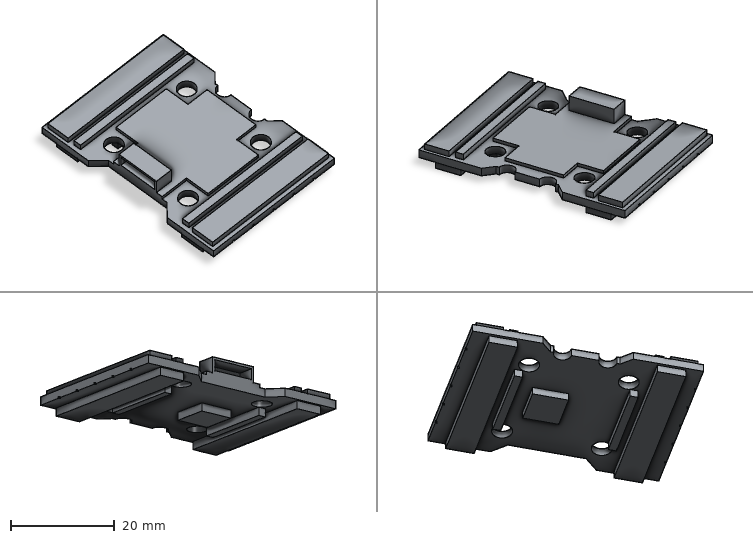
import cadquery as cq

PLATE_LENGTH = 46.0
PLATE_WIDTH = 33.45
PLATE_THICKNESS = 1.7

FRONT_RECESS_HALF = 10.6
FRONT_RECESS_DEPTH = 2.75
REAR_RECESS_HALF = 9.0
REAR_RECESS_DEPTH = 2.05

NOTCH_DIAMETER = 3.5
NOTCH_X = 4.5

HOLE_DIAMETER = 4.0
HOLE_X = 9.95
HOLE_FRONT_Y = -10.3
HOLE_REAR_Y = 9.85

NICK_COUNT = 5
NICK_SPACING = 5.55
NICK_WIDTH = 0.3
NICK_HEIGHT = 0.3
NICK_DEPTH = 0.3

PAD_HEIGHT = 0.7
PAD_WIDE_HALF = 12.35
PAD_WIDE_FRONT_Y = -7.2
PAD_WIDE_REAR_Y = 6.65
PAD_NARROW_HALF = 6.55
PAD_NARROW_REAR_Y = 11.95

SHELL_TOP = 3.9
SHELL_HALF = 5.0
SHELL_DEPTH = 4.1
SHELL_WALL = 0.5

TOP_BAR_HEIGHT = 1.25
WIDE_TOP_BAR_X = (16.65, 22.1)
WIDE_TOP_BAR_LENGTH = 32.05
NARROW_TOP_BAR_X = (13.65, 15.35)
NARROW_TOP_BAR_LENGTH = 31.35

BOTTOM_BLOCK_HEIGHT = 1.65
BOTTOM_BAR_X = (13.95, 19.6)
BOTTOM_BAR_LENGTH = 32.4
BOTTOM_STRIP_X = (10.7, 12.35)
BOTTOM_STRIP_Y = (-8.35, 7.9)
CENTRE_BLOCK_X = (0.4, 7.6)
CENTRE_BLOCK_Y = (-3.7, 3.7)

HALF_WIDTH = PLATE_WIDTH / 2
FRONT_EDGE_Y = -HALF_WIDTH + FRONT_RECESS_DEPTH
REAR_EDGE_Y = HALF_WIDTH - REAR_RECESS_DEPTH
PLATE_BOTTOM = -PLATE_THICKNESS
PART_BOTTOM = PLATE_BOTTOM - BOTTOM_BLOCK_HEIGHT


def block(x_range, y_range, z_range):
    """Box spanning the given (low, high) ranges."""
    size = [high - low for low, high in (x_range, y_range, z_range)]
    corner = (x_range[0], y_range[0], z_range[0])
    return cq.Workplane("XY").box(*size, centered=False).translate(corner)


def symmetric(half):
    """Range centred on zero."""
    return (-half, half)


def mirrored_pair(solid):
    """The solid together with its mirror image on the -X side."""
    return solid.union(solid.mirror("YZ"))


def edge_recess(half_width, depth, side):
    """Tapered cutter for the long edge on the given side (+1 rear, -1 front)."""
    edge_y = side * HALF_WIDTH
    floor_y = edge_y - side * depth
    floor_half = half_width - depth
    outline = [(-half_width, edge_y), (-floor_half, floor_y), (floor_half, floor_y), (half_width, edge_y)]
    plane = cq.Workplane("XY").workplane(offset=PLATE_BOTTOM)
    return plane.polyline(outline).close().extrude(PLATE_THICKNESS)


def round_cutter(diameter, centres):
    """Cylinders through the plate thickness."""
    plane = cq.Workplane("XY").workplane(offset=PLATE_BOTTOM)
    return plane.pushPoints(centres).circle(diameter / 2).extrude(PLATE_THICKNESS)


def edge_nicks():
    """Evenly spaced cutters for the bottom edges of both short sides."""
    half_length = PLATE_LENGTH / 2
    x_range = (half_length - NICK_DEPTH, half_length)
    z_range = (PLATE_BOTTOM, PLATE_BOTTOM + NICK_HEIGHT)
    nicks = cq.Workplane("XY")
    for index in range(NICK_COUNT):
        centre_y = (index - (NICK_COUNT - 1) / 2) * NICK_SPACING
        y_range = (centre_y - NICK_WIDTH / 2, centre_y + NICK_WIDTH / 2)
        nicks = nicks.add(block(x_range, y_range, z_range))
    return mirrored_pair(nicks.combine())


def base_plate():
    hole_centres = [(x, y) for x in (-HOLE_X, HOLE_X) for y in (HOLE_FRONT_Y, HOLE_REAR_Y)]
    notch_centres = [(x, REAR_EDGE_Y) for x in (-NOTCH_X, NOTCH_X)]
    plate = block(symmetric(PLATE_LENGTH / 2), symmetric(HALF_WIDTH), (PLATE_BOTTOM, 0))
    plate = plate.cut(edge_recess(FRONT_RECESS_HALF, FRONT_RECESS_DEPTH, -1))
    plate = plate.cut(edge_recess(REAR_RECESS_HALF, REAR_RECESS_DEPTH, 1))
    plate = plate.cut(round_cutter(NOTCH_DIAMETER, notch_centres))
    plate = plate.cut(round_cutter(HOLE_DIAMETER, hole_centres))
    return plate.cut(edge_nicks())


def cross_pad():
    height = (0, PAD_HEIGHT)
    wide = block(symmetric(PAD_WIDE_HALF), (PAD_WIDE_FRONT_Y, PAD_WIDE_REAR_Y), height)
    narrow = block(symmetric(PAD_NARROW_HALF), (FRONT_EDGE_Y, PAD_NARROW_REAR_Y), height)
    return wide.union(narrow)


def connector_shell():
    """Box-shaped shell with a wall on every side except the front."""
    back_y = FRONT_EDGE_Y + SHELL_DEPTH
    shell = block(symmetric(SHELL_HALF), (FRONT_EDGE_Y, back_y), (PAD_HEIGHT, SHELL_TOP))
    cavity_z = (PAD_HEIGHT + SHELL_WALL, SHELL_TOP - SHELL_WALL)
    cavity = block(symmetric(SHELL_HALF - SHELL_WALL), (FRONT_EDGE_Y, back_y - SHELL_WALL), cavity_z)
    return shell.cut(cavity)


def top_bars():
    height = (0, TOP_BAR_HEIGHT)
    wide = block(WIDE_TOP_BAR_X, symmetric(WIDE_TOP_BAR_LENGTH / 2), height)
    narrow = block(NARROW_TOP_BAR_X, symmetric(NARROW_TOP_BAR_LENGTH / 2), height)
    return mirrored_pair(wide.union(narrow))


def bottom_blocks():
    height = (PART_BOTTOM, PLATE_BOTTOM)
    bar = block(BOTTOM_BAR_X, symmetric(BOTTOM_BAR_LENGTH / 2), height)
    strip = block(BOTTOM_STRIP_X, BOTTOM_STRIP_Y, height)
    centre = block(CENTRE_BLOCK_X, CENTRE_BLOCK_Y, height)
    return mirrored_pair(bar.union(strip)).union(centre)


result = base_plate()
for feature in (cross_pad(), connector_shell(), top_bars(), bottom_blocks()):
    result = result.union(feature)